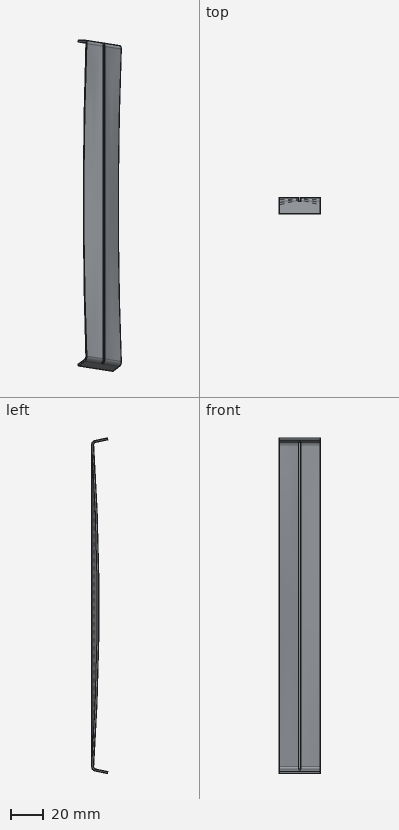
import cadquery as cq
import math

width = 25.03
depth = 9.79
height = 204.02

thickness = 1.2
inner_radius = 1.5
flange_lean = math.radians(12)

wing_bow = 3.3

slot_width = 1.1

half_width = width / 2
half_height = height / 2
back_y = depth / 2
front_y = back_y - thickness
tip_y = -depth / 2
outer_radius = inner_radius + thickness
lean_cos = math.cos(flange_lean)
lean_sin = math.sin(flange_lean)
bend_angle = math.pi / 2 - flange_lean

bend_y = back_y - outer_radius
flange_length = (bend_y + inner_radius * lean_sin - tip_y) / lean_cos
bend_z = half_height - outer_radius * lean_cos - flange_length * lean_sin


def bend_point(radius, turn):
    """YZ point on the upper bend, at an angle turned from +Y toward +Z."""
    return (bend_y + radius * math.cos(turn), bend_z + radius * math.sin(turn))


outer_bend_end = bend_point(outer_radius, bend_angle)
inner_bend_end = bend_point(inner_radius, bend_angle)


def flange_tip(bend_end):
    """YZ point at the free end of the flange, straight on from where the bend ends."""
    return (bend_end[0] - flange_length * lean_cos, bend_end[1] + flange_length * lean_sin)


def make_flange():
    """Upper end flange together with its bend."""
    return (
        cq.Workplane("YZ", origin=(-half_width, 0, 0))
        .moveTo(back_y, bend_z)
        .threePointArc(bend_point(outer_radius, bend_angle / 2), outer_bend_end)
        .lineTo(*flange_tip(outer_bend_end))
        .lineTo(*flange_tip(inner_bend_end))
        .lineTo(*inner_bend_end)
        .threePointArc(bend_point(inner_radius, bend_angle / 2), (front_y, bend_z))
        .close()
        .extrude(width)
    )


def wing_section(z, bow):
    """Cross section of the +X wing at one height, tilted so that its outer edge moves by bow."""
    tilt = math.atan(bow / half_width)
    edge_y = back_y - bow
    corners = [
        cq.Vector(0, back_y, z),
        cq.Vector(half_width, edge_y, z),
        cq.Vector(half_width - thickness * math.sin(tilt), edge_y - thickness * math.cos(tilt), z),
        cq.Vector(0, back_y - thickness / math.cos(tilt), z),
    ]
    return cq.Wire.makePolygon(corners, close=True)


def make_wing():
    """+X half of the web: flat at both ends and smoothly bowed in between."""
    sections = [
        wing_section(-bend_z, 0),
        wing_section(0, wing_bow),
        wing_section(bend_z, 0),
    ]
    return cq.Workplane(cq.Solid.makeLoft(sections, False))


def make_slot():
    """Cutter for the centre slot, from the back face to where the outer bends meet the flanges."""
    slot_depth = back_y - outer_bend_end[0]
    return (
        cq.Workplane("XY")
        .box(slot_width, slot_depth, height)
        .translate((0, back_y - slot_depth / 2, 0))
    )


wing = make_wing()
flange = make_flange()
web = wing.union(wing.mirror("YZ"))
bracket = web.union(flange).union(flange.mirror("XY"))
result = bracket.cut(make_slot())